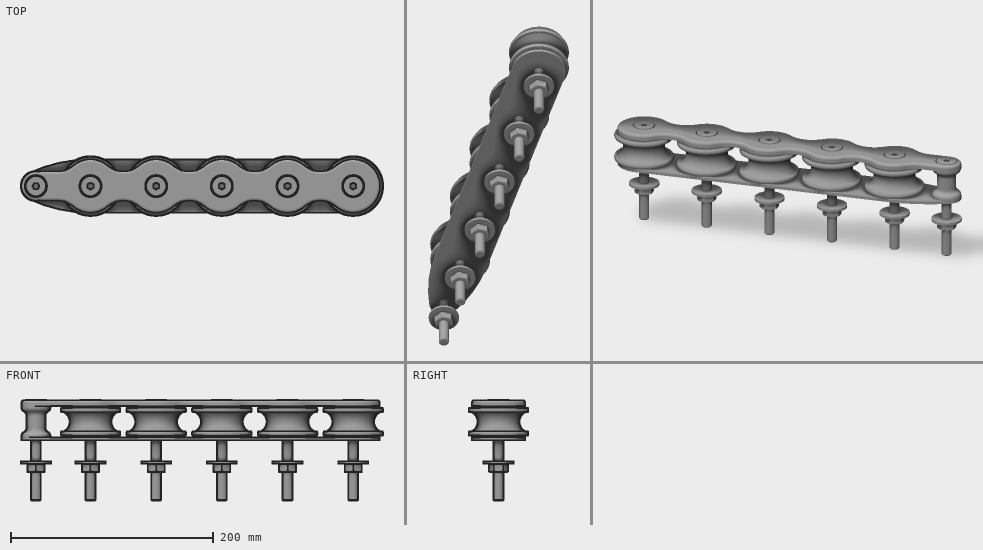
import cadquery as cq
import math

WHEEL_COUNT = 5
WHEEL_PITCH = 65.0
POST_TO_WHEEL = 54.0
WHEEL_XS = [POST_TO_WHEEL + i * WHEEL_PITCH for i in range(WHEEL_COUNT)]
BOLT_XS = [0.0] + WHEEL_XS

TOTAL_HEIGHT = 100.0
HEAD_RISE = 0.5
TOP_PLATE_THICKNESS = 6.0
BOTTOM_PLATE_THICKNESS = 3.0
PLATE_GAP = 31.0
TOP_PLATE_Z = TOTAL_HEIGHT - HEAD_RISE - TOP_PLATE_THICKNESS
GAP_Z = TOP_PLATE_Z - PLATE_GAP
BOTTOM_PLATE_Z = GAP_Z - BOTTOM_PLATE_THICKNESS
GAP_MID_Z = GAP_Z + PLATE_GAP / 2

PLATE_R = 26.5
NOSE_R = 14.5
TOP_EDGE_FILLET = 3.0

WHEEL_R = 29.7
WHEEL_HEIGHT = 27.5
RIM_HEIGHT = 4.2
RIM_BULGE = 0.7
GROOVE_EDGE_R = 26.5
GROOVE_NECK_R = 20.75
HUB_R = 18.5

POST_R = 9.5
POST_FOOT_R = NOSE_R
POST_FOOT_HEIGHT = 1.2
FLARE_ANGLE = math.radians(63)
FLARE_EDGE_R = 12.0

BOLT_R = 5.0
BOLT_TIP_CHAMFER = 1.0
HEAD_R = 10.0
SOCKET_FLATS = 6.0
SOCKET_DEPTH = 4.0
SINK_R = 11.0
SINK_DEPTH = 2.5
WASHER_R = 15.0
WASHER_THICKNESS = 2.5
WASHER_TOP_Z = 39.0
NUT_FLATS = 17.0
NUT_HEIGHT = 8.4
NUT_FACE_R = 8.0
NUT_CHAMFER_HEIGHT = 1.0
CORNERS_TO_Y_TURN = 90.0
HEX_CORNER_RATIO = 1 / math.cos(math.radians(30))


def cylinder(x, z, radius, height):
    return cq.Workplane("XY", origin=(x, 0, z)).circle(radius).extrude(height)


def bottom_plate():
    """Straight-sided plate that narrows along two large arcs to the nose."""
    side_r = (POST_TO_WHEEL**2 + PLATE_R**2 - NOSE_R**2) / (2 * (PLATE_R - NOSE_R))
    center_y = PLATE_R - side_r
    start = math.atan2(-center_y, -POST_TO_WHEEL)
    nose_x = NOSE_R * math.cos(start)
    nose_y = NOSE_R * math.sin(start)
    mid_angle = (start + math.pi / 2) / 2
    mid_x = POST_TO_WHEEL + side_r * math.cos(mid_angle)
    mid_y = center_y + side_r * math.sin(mid_angle)
    first_x = WHEEL_XS[0]
    last_x = WHEEL_XS[-1]
    return (
        cq.Workplane("XY", origin=(0, 0, BOTTOM_PLATE_Z))
        .moveTo(nose_x, nose_y)
        .threePointArc((mid_x, mid_y), (first_x, PLATE_R))
        .lineTo(last_x, PLATE_R)
        .threePointArc((last_x + PLATE_R, 0), (last_x, -PLATE_R))
        .lineTo(first_x, -PLATE_R)
        .threePointArc((mid_x, -mid_y), (nose_x, -nose_y))
        .threePointArc((-NOSE_R, 0), (nose_x, nose_y))
        .close()
        .extrude(BOTTOM_PLATE_THICKNESS)
    )


def top_plate():
    """Scalloped plate: a lobe over each wheel, joined by tangent waists as wide as the nose."""
    half_pitch = WHEEL_PITCH / 2
    waist_r = (half_pitch**2 + NOSE_R**2 - PLATE_R**2) / (2 * (PLATE_R - NOSE_R))
    lobe_share = PLATE_R / (PLATE_R + waist_r)
    tangent_dx = half_pitch * lobe_share
    tangent_y = (NOSE_R + waist_r) * lobe_share
    first_waist_x = WHEEL_XS[0] - half_pitch
    last_x = WHEEL_XS[-1]

    outline = cq.Workplane("XY", origin=(0, 0, TOP_PLATE_Z)).moveTo(0, NOSE_R)
    outline = outline.lineTo(first_waist_x, NOSE_R)
    outline = outline.tangentArcPoint((WHEEL_XS[0] - tangent_dx, tangent_y), relative=False)
    for x in WHEEL_XS[:-1]:
        outline = outline.threePointArc((x, PLATE_R), (x + tangent_dx, tangent_y))
        next_lobe_x = x + WHEEL_PITCH - tangent_dx
        outline = outline.threePointArc((x + half_pitch, NOSE_R), (next_lobe_x, tangent_y))
    outline = outline.threePointArc((last_x + PLATE_R, 0), (last_x - tangent_dx, -tangent_y))
    for x in reversed(WHEEL_XS[:-1]):
        outline = outline.threePointArc((x + half_pitch, -NOSE_R), (x + tangent_dx, -tangent_y))
        outline = outline.threePointArc((x, -PLATE_R), (x - tangent_dx, -tangent_y))
    outline = outline.tangentArcPoint((first_waist_x, -NOSE_R), relative=False)
    outline = outline.lineTo(0, -NOSE_R).threePointArc((-NOSE_R, 0), (0, NOSE_R)).close()
    return outline.extrude(TOP_PLATE_THICKNESS).faces(">Z").edges().fillet(TOP_EDGE_FILLET)


def wheel(x):
    """Wheel with a round groove between two bulged rims, on a hub that spans the plate gap."""
    bottom = -WHEEL_HEIGHT / 2
    groove = bottom + RIM_HEIGHT
    rim_edge_r = WHEEL_R - RIM_BULGE
    body = (
        cq.Workplane("XZ", origin=(x, 0, GAP_MID_Z))
        .moveTo(0, bottom)
        .lineTo(rim_edge_r, bottom)
        .threePointArc((WHEEL_R, bottom + RIM_HEIGHT / 2), (rim_edge_r, groove))
        .lineTo(GROOVE_EDGE_R, groove)
        .threePointArc((GROOVE_NECK_R, 0), (GROOVE_EDGE_R, -groove))
        .lineTo(rim_edge_r, -groove)
        .threePointArc((WHEEL_R, -bottom - RIM_HEIGHT / 2), (rim_edge_r, -bottom))
        .lineTo(0, -bottom)
        .close()
        .revolve(360, (0, 0, 0), (0, 1, 0))
    )
    return body.union(cylinder(x, GAP_Z, HUB_R, PLATE_GAP))


def guide_post():
    """Slim post whose two ends flare out to the plate nose in an S-shaped curve."""
    fillet_r = (FLARE_EDGE_R - POST_R) / (1 - math.cos(FLARE_ANGLE))
    bulge_r = (POST_FOOT_R - FLARE_EDGE_R) / (1 - math.cos(FLARE_ANGLE))
    foot = POST_FOOT_HEIGHT - PLATE_GAP / 2
    edge = foot + bulge_r * math.sin(FLARE_ANGLE)
    neck = edge + fillet_r * math.sin(FLARE_ANGLE)
    return (
        cq.Workplane("XZ", origin=(0, 0, GAP_MID_Z))
        .moveTo(0, -PLATE_GAP / 2)
        .lineTo(POST_FOOT_R, -PLATE_GAP / 2)
        .lineTo(POST_FOOT_R, foot)
        .tangentArcPoint((FLARE_EDGE_R, edge), relative=False)
        .tangentArcPoint((POST_R, neck), relative=False)
        .lineTo(POST_R, -neck)
        .tangentArcPoint((FLARE_EDGE_R, -edge), relative=False)
        .tangentArcPoint((POST_FOOT_R, -foot), relative=False)
        .lineTo(POST_FOOT_R, PLATE_GAP / 2)
        .lineTo(0, PLATE_GAP / 2)
        .close()
        .revolve(360, (0, 0, 0), (0, 1, 0))
    )


def nut(x):
    """Hexagon nut with corners toward Y, both ends trimmed by a cone."""
    corner_r = NUT_FLATS / 2 * HEX_CORNER_RATIO
    z = WASHER_TOP_Z - WASHER_THICKNESS - NUT_HEIGHT
    hexagon = (
        cq.Workplane("XY", origin=(x, 0, z))
        .transformed(rotate=(0, 0, CORNERS_TO_Y_TURN))
        .polygon(6, 2 * corner_r)
        .extrude(NUT_HEIGHT)
    )
    envelope = (
        cq.Workplane("XZ", origin=(x, 0, z))
        .moveTo(0, 0)
        .lineTo(NUT_FACE_R, 0)
        .lineTo(corner_r, NUT_CHAMFER_HEIGHT)
        .lineTo(corner_r, NUT_HEIGHT - NUT_CHAMFER_HEIGHT)
        .lineTo(NUT_FACE_R, NUT_HEIGHT)
        .lineTo(0, NUT_HEIGHT)
        .close()
        .revolve(360, (0, 0, 0), (0, 1, 0))
    )
    return hexagon.intersect(envelope)


def bolt(x):
    """Bolt shank and head, with the washer and nut below the plates."""
    shank = cylinder(x, 0, BOLT_R, TOTAL_HEIGHT).faces("<Z").chamfer(BOLT_TIP_CHAMFER)
    head = cylinder(x, TOP_PLATE_Z, HEAD_R, TOTAL_HEIGHT - TOP_PLATE_Z)
    washer = cylinder(x, WASHER_TOP_Z - WASHER_THICKNESS, WASHER_R, WASHER_THICKNESS)
    return shank.union(head).union(washer).union(nut(x))


def countersink(x):
    """Shallow clearance ring around the bolt head in the top plate."""
    z = TOTAL_HEIGHT - HEAD_RISE - SINK_DEPTH
    return cylinder(x, z, SINK_R, SINK_DEPTH)


def socket(x):
    """Hexagon key socket, corners toward X on the post bolt and toward Y on the wheel bolts."""
    z = TOTAL_HEIGHT - SOCKET_DEPTH
    corner_diameter = SOCKET_FLATS * HEX_CORNER_RATIO
    turn = 0 if x == BOLT_XS[0] else CORNERS_TO_Y_TURN
    return (
        cq.Workplane("XY", origin=(x, 0, z))
        .transformed(rotate=(0, 0, turn))
        .polygon(6, corner_diameter)
        .extrude(SOCKET_DEPTH)
    )


upper = top_plate()
for bolt_x in BOLT_XS:
    upper = upper.cut(countersink(bolt_x))

result = upper.union(bottom_plate()).union(guide_post())
for wheel_x in WHEEL_XS:
    result = result.union(wheel(wheel_x))
for bolt_x in BOLT_XS:
    result = result.union(bolt(bolt_x)).cut(socket(bolt_x))